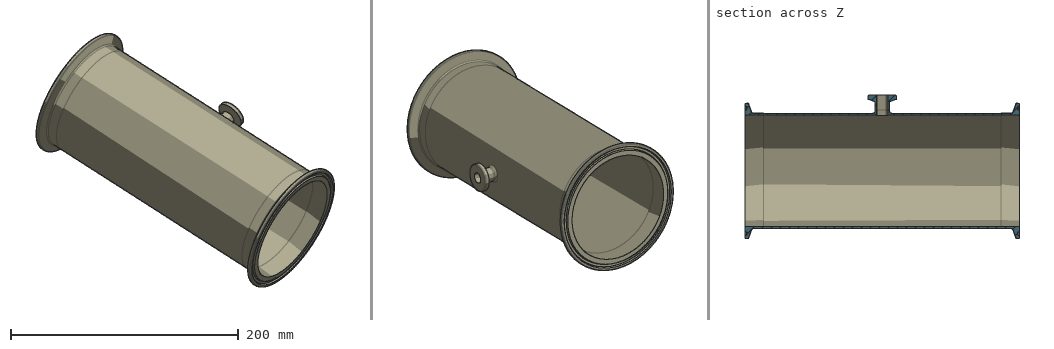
import cadquery as cq
import math

length = 241.3
tube_diameter = 101.5
tube_bore = 97.5

overall_depth = 126.2

cone_angle = 20.0

flange_diameter = 119.0
flange_rim = 3.1
flange_edge_round = 0.7
flange_root_fillet = 1.5
ferrule_length = 16.2

groove_outer_diameter = 114.0
groove_inner_diameter = 106.7
groove_depth = 1.5
groove_wall_run = 0.7

nozzle_reach = overall_depth - flange_diameter / 2
nozzle_diameter = 12.8
nozzle_bore = 9.5
nozzle_flange_diameter = 25.0
nozzle_rim = 3.9
nozzle_edge_round = 0.7
nozzle_ferrule_length = 13.3
nozzle_weld_fillet = 1.7

edge_tolerance = 0.02


def clamp_end(pipe_diameter, flange_dia, rim, depth):
    """Solid clamp end about Z: face at z = 0, rim, cone, then pipe down to z = -depth."""
    pipe_radius = pipe_diameter / 2
    flange_radius = flange_dia / 2
    cone_end = rim + (flange_radius - pipe_radius) * math.tan(math.radians(cone_angle))
    return (
        cq.Workplane("XZ")
        .moveTo(0, 0)
        .lineTo(flange_radius, 0)
        .lineTo(flange_radius, -rim)
        .lineTo(pipe_radius, -cone_end)
        .lineTo(pipe_radius, -depth)
        .lineTo(0, -depth)
        .close()
        .revolve(360, (0, 0, 0), (0, 1, 0))
    )


def circles_of_diameter(diameter):
    """Selector for circular edges of one diameter."""
    def matches(edge):
        return edge.geomType() == "CIRCLE" and abs(2 * edge.radius() - diameter) < edge_tolerance

    return matches


def gasket_groove():
    """Ring with sloping walls, sunk below z = 0."""
    outer = groove_outer_diameter / 2
    inner = groove_inner_diameter / 2
    return (
        cq.Workplane("XZ")
        .moveTo(inner, 0)
        .lineTo(outer, 0)
        .lineTo(outer - groove_wall_run, -groove_depth)
        .lineTo(inner + groove_wall_run, -groove_depth)
        .close()
        .revolve(360, (0, 0, 0), (0, 1, 0))
    )


def tube_ferrule():
    """Ferrule of the main tube about Z, face at z = 0, with gasket groove and bore."""
    ferrule = clamp_end(tube_diameter, flange_diameter, flange_rim, ferrule_length)
    ferrule = ferrule.edges().filter(circles_of_diameter(flange_diameter)).fillet(flange_edge_round)
    root_edge = ferrule.edges().filter(circles_of_diameter(tube_diameter)).edges(">Z")
    ferrule = root_edge.fillet(flange_root_fillet)
    ferrule = ferrule.cut(gasket_groove())
    return ferrule.cut(cq.Workplane("XY").circle(tube_bore / 2).extrude(-ferrule_length))


def side_nozzle():
    """Bored nozzle ferrule along +Y, running from its weld to the nozzle face."""
    nozzle = clamp_end(nozzle_diameter, nozzle_flange_diameter, nozzle_rim, nozzle_ferrule_length)
    nozzle = nozzle.faces(">Z").edges().fillet(nozzle_edge_round)
    nozzle = nozzle.cut(cq.Workplane("XY").circle(nozzle_bore / 2).extrude(-nozzle_ferrule_length))
    return nozzle.rotate((0, 0, 0), (1, 0, 0), -90).translate((0, nozzle_reach, 0))


def weld_edge(edge):
    """True for the curved edges where the nozzle wall meets the tube wall."""
    box = edge.BoundingBox()
    within_nozzle = max(-box.xmin, box.xmax) < nozzle_diameter / 2 + edge_tolerance
    reaches_tube_top = abs(box.ymax - tube_diameter / 2) < edge_tolerance
    return within_nozzle and reaches_tube_top


def plain_tube():
    """Tube between the two ferrules, with the filleted outlet that carries the nozzle."""
    half_length = length / 2 - ferrule_length
    outlet_reach = nozzle_reach - nozzle_ferrule_length
    tube = cq.Workplane("YZ").circle(tube_diameter / 2).extrude(half_length, both=True)
    outlet = cq.Workplane("XZ").circle(nozzle_diameter / 2).extrude(-outlet_reach)
    tube = tube.union(outlet)
    tube = tube.edges().filter(weld_edge).fillet(nozzle_weld_fillet)
    tube_cutter = cq.Workplane("YZ").circle(tube_bore / 2).extrude(half_length, both=True)
    outlet_cutter = cq.Workplane("XZ").circle(nozzle_bore / 2).extrude(-outlet_reach)
    return tube.cut(tube_cutter).cut(outlet_cutter)


right_ferrule = tube_ferrule().rotate((0, 0, 0), (0, 1, 0), 90).translate((length / 2, 0, 0))
body = plain_tube()
for ferrule in (right_ferrule, right_ferrule.mirror("YZ"), side_nozzle()):
    body = body.union(ferrule, clean=False)

result = body.solids()